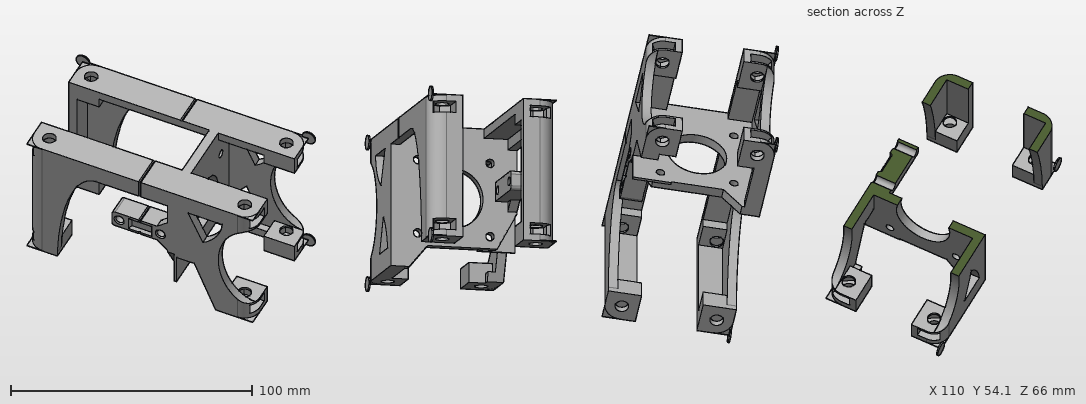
import cadquery as cq
import math

EAR_DIAMETER = 6.0
LENGTH = 110 - EAR_DIAMETER
HEIGHT = 66 - EAR_DIAMETER
WIDTH = 54.1
HALF_X = LENGTH / 2
HALF_Y = WIDTH / 2
HALF_Z = HEIGHT / 2
EAR_THICKNESS = 0.7

WALL = 4.0
POST_SIZE = 14.1
BAR_HEIGHT = 8.5
BAR_Z = HALF_Z - BAR_HEIGHT
LOWER_FLANGE_WIDTH = 7.0
PANEL_Y = HALF_Y - WALL
FOOT_X = HALF_X - POST_SIZE

SCREW_DIAMETER = 5.6
SCREW_INSET = POST_SIZE / 2
CORNER_SKIN = 0.3
NUT_FLATS = 8.1
NUT_HEIGHT = 4.7
NUT_Z = 24.9
NUT_FLARE = 2.1

PLATE_X0 = 12.8
PLATE_THICKNESS = 4.2
PLATE_X1 = PLATE_X0 + PLATE_THICKNESS
PLATE_BOTTOM = -20.7
BORE_DIAMETER = 25.0
MOTOR_SCREW_DIAMETER = 3.5
MOTOR_SCREW_OFFSET = 15.5
SKIN_THICKNESS = 1.1
SKIN_BOTTOM = -21.2
SKIN_END_Y = -10.9
CORNER_CUT_TOP = -5.4
CORNER_CUT_Y = -18.3
WEDGE_TOP_Y = 11.1
WEDGE_FOOT_Y = 18.9

FRONT_ARCH_X = -20.2
FRONT_ARCH_Z = -31.7
FRONT_ARCH_RADII = (17.7, 53.1)
BACK_ARCH_RADII = (15.8, BAR_Z)
UPPER_WINDOW_LEFT = 22.2
UPPER_WINDOW_TIP = (29.0, 7.2)
UPPER_WINDOW_MIDDLE = (35.4, 13.6)
LEG_TOP = (25.1, -6.9)
LEG_BOTTOM = (34.9, -HALF_Z)
LOWER_WINDOW_LEFT = 18.2
LOWER_WINDOW_MIDDLE = (20.2, -14.0)

TAB_LEFT = -12.9
TAB_Z = 3.5
TAB_HEIGHT = 8.0
TAB_DEPTH = 9.2
TAB_ROUND = 1.5
TAB_NECK_X = 7.9
TAB_NECK_HALF = 8.1
TAB_HOLE_DIAMETER = 3.5
TAB_HOLE_RIM = 4.6
TAB_HOLE_X = 9.5
POCKET_CENTRE = (0.2, -0.1)
POCKET_LENGTH = 10.8
POCKET_HEIGHT = 5.7
POCKET_DEPTH = 1.3
POCKET_INSET = 0.9

GROOVE_WIDTH = 1.1
GROOVE_DEPTH = 0.3


def block(x0, x1, y0, y1, z0, z1):
    return cq.Workplane("XY").box(x1 - x0, y1 - y0, z1 - z0, centered=False).translate((x0, y0, z0))


def xz():
    return cq.Workplane("XZ")


def along_y(sketch, y0, y1):
    """Extrude an XZ outline from y0 to y1."""
    return sketch.extrude(-(y1 - y0)).translate((0, y0, 0))


def ellipse(x, z, radii):
    return along_y(xz().center(x, z).ellipse(*radii), -HALF_Y, HALF_Y)


def upper_window():
    outline = (
        xz().moveTo(UPPER_WINDOW_LEFT, BAR_Z).lineTo(*UPPER_WINDOW_TIP)
        .threePointArc(UPPER_WINDOW_MIDDLE, (FOOT_X, BAR_Z)).close()
    )
    return along_y(outline, -HALF_Y, HALF_Y)


def leg_x(z):
    """X of the slanted leg edge at height z."""
    slope = (LEG_BOTTOM[0] - LEG_TOP[0]) / (LEG_BOTTOM[1] - LEG_TOP[1])
    return LEG_TOP[0] + slope * (z - LEG_TOP[1])


def lower_window():
    outline = (
        xz().moveTo(LOWER_WINDOW_LEFT, -BAR_Z).threePointArc(LOWER_WINDOW_MIDDLE, LEG_TOP)
        .lineTo(leg_x(-BAR_Z), -BAR_Z).close()
    )
    return along_y(outline, PANEL_Y, HALF_Y)


def front_leg_cut():
    outline = xz().polyline([
        (PLATE_X1, LEG_TOP[1]), LEG_TOP, LEG_BOTTOM, (PLATE_X1, -HALF_Z),
    ]).close()
    return along_y(outline, -HALF_Y, 0)


def side_frame(side):
    """One L-section frame: outer panel, flanges, post wall and corner blocks (side is -1 or 1)."""

    def slab(x0, x1, depth, z0, z1):
        inner, outer = side * (HALF_Y - depth), side * HALF_Y
        return block(x0, x1, min(inner, outer), max(inner, outer), z0, z1)

    panel = slab(-HALF_X, HALF_X, WALL, -HALF_Z, HALF_Z)
    opening = block(FRONT_ARCH_X, PLATE_X0, -HALF_Y, HALF_Y, -HALF_Z, BAR_Z)
    panel = panel.cut(opening).cut(ellipse(FRONT_ARCH_X, FRONT_ARCH_Z, FRONT_ARCH_RADII))
    panel = panel.cut(ellipse(HALF_X, 0, BACK_ARCH_RADII)).cut(upper_window())

    frame = panel.union(slab(-HALF_X, HALF_X, POST_SIZE, HALF_Z - WALL, HALF_Z))
    frame = frame.union(slab(-HALF_X, WALL - HALF_X, POST_SIZE, -HALF_Z, HALF_Z))
    frame = frame.union(slab(PLATE_X1, FOOT_X, LOWER_FLANGE_WIDTH, -HALF_Z, WALL - HALF_Z))
    for x0, x1 in ((-HALF_X, -FOOT_X), (FOOT_X, HALF_X)):
        for z0, z1 in ((-HALF_Z, -BAR_Z), (BAR_Z, HALF_Z)):
            frame = frame.union(slab(x0, x1, POST_SIZE, z0, z1))
    return frame.cut(front_leg_cut() if side < 0 else lower_window())


def motor_plate():
    section = [
        (-HALF_Y, HALF_Z), (HALF_Y, HALF_Z), (HALF_Y, -HALF_Z),
        (WEDGE_FOOT_Y, -HALF_Z), (WEDGE_TOP_Y, PLATE_BOTTOM), (-HALF_Y, PLATE_BOTTOM),
    ]
    plate = cq.Workplane("YZ").polyline(section).close().extrude(PLATE_THICKNESS)
    skin = block(PLATE_X1 - SKIN_THICKNESS, PLATE_X1, -HALF_Y, SKIN_END_Y, SKIN_BOTTOM, PLATE_BOTTOM)
    return plate.translate((PLATE_X0, 0, 0)).union(skin)


def corner_cut():
    """Slanted relief through the lower front corner of the plate, leaving a thin skin behind it."""
    points = [
        (-HALF_Y, CORNER_CUT_TOP), (CORNER_CUT_Y, SKIN_BOTTOM),
        (CORNER_CUT_Y, -HALF_Z), (-HALF_Y, -HALF_Z),
    ]
    relief = cq.Workplane("YZ").polyline(points).close().extrude(PLATE_THICKNESS - SKIN_THICKNESS)
    below = block(PLATE_X0, PLATE_X1, -HALF_Y, SKIN_END_Y, -HALF_Z, SKIN_BOTTOM)
    return relief.translate((PLATE_X0, 0, 0)).union(below)


def plate_holes():
    side = 2 * MOTOR_SCREW_OFFSET
    bore = cq.Workplane("YZ").circle(BORE_DIAMETER / 2).extrude(PLATE_THICKNESS)
    centres = cq.Workplane("YZ").rect(side, side, forConstruction=True).vertices()
    screws = centres.circle(MOTOR_SCREW_DIAMETER / 2).extrude(PLATE_THICKNESS)
    return bore.union(screws).translate((PLATE_X0, 0, 0))


def switch_tab():
    top, bottom = TAB_Z + TAB_HEIGHT / 2, TAB_Z - TAB_HEIGHT / 2
    tab = block(TAB_LEFT, PLATE_X0, -HALF_Y, TAB_DEPTH - HALF_Y, bottom, top)
    tab = tab.edges("<X and |Y").fillet(TAB_ROUND)
    neck = xz().polyline([
        (TAB_NECK_X, top), (PLATE_X0, TAB_Z + TAB_NECK_HALF),
        (PLATE_X0, TAB_Z - TAB_NECK_HALF), (TAB_NECK_X, bottom),
    ]).close()
    return tab.union(along_y(neck, -HALF_Y, -PANEL_Y))


def tab_cuts():
    front = cq.Workplane("XZ", origin=(0, -HALF_Y, TAB_Z))
    pocket = (
        front.center(*POCKET_CENTRE).rect(POCKET_LENGTH, POCKET_HEIGHT).workplane(offset=-POCKET_DEPTH)
        .rect(POCKET_LENGTH - 2 * POCKET_INSET, POCKET_HEIGHT - 2 * POCKET_INSET).loft(combine=True)
    )
    rim_depth = (TAB_HOLE_RIM - TAB_HOLE_DIAMETER) / 2
    hole_centres = [(-TAB_HOLE_X, 0), (TAB_HOLE_X, 0)]
    holes = front.pushPoints(hole_centres).circle(TAB_HOLE_DIAMETER / 2).extrude(-TAB_DEPTH)
    for x, z in hole_centres:
        rim = cq.Solid.makeCone(
            TAB_HOLE_RIM / 2, TAB_HOLE_DIAMETER / 2, rim_depth,
            pnt=cq.Vector(x, -HALF_Y, TAB_Z + z), dir=cq.Vector(0, 1, 0),
        )
        holes = holes.union(cq.Workplane(rim))
    return holes.union(pocket)


def corner_round(sx, sy):
    """Material outside the rounded outer corner of a post, between the thin end skins."""
    radius = SCREW_INSET
    depth = HEIGHT - 2 * CORNER_SKIN
    waste = cq.Workplane("XY").box(radius, radius, depth, centered=(False, False, True))
    waste = waste.cut(cq.Workplane("XY").circle(radius).extrude(depth, both=True))
    turn = {(1, 1): 0, (-1, 1): 90, (-1, -1): 180, (1, -1): 270}[(sx, sy)]
    waste = waste.rotate((0, 0, 0), (0, 0, 1), turn)
    return waste.translate((sx * (HALF_X - radius), sy * (HALF_Y - radius), 0))


def nut_slot(sx, sy, sz):
    """Hexagonal nut trap open to the end face, its outer wall flared outwards."""
    half = NUT_FLATS / 2
    tip = half / math.cos(math.radians(30))
    outline = [
        (-tip, 0), (-tip / 2, -half), (SCREW_INSET, -half),
        (SCREW_INSET, half + NUT_FLARE), (tip / 2, half), (-tip / 2, half),
    ]
    points = [(sx * (HALF_X - SCREW_INSET + x), sy * (HALF_Y - SCREW_INSET + y)) for x, y in outline]
    slot = cq.Workplane("XY").polyline(points).close().extrude(NUT_HEIGHT)
    return slot.translate((0, 0, sz * NUT_Z - NUT_HEIGHT / 2))


def grooves():
    """V grooves at mid length across the top and down the outer faces of bars and tab."""
    half = GROOVE_WIDTH / 2
    tab_top = TAB_Z + TAB_HEIGHT / 2

    def top_groove(z, y0, y1):
        return along_y(xz().polyline([(-half, z), (half, z), (0, z - GROOVE_DEPTH)]).close(), y0, y1)

    def face_groove(sy, z0, z1):
        outline = [(-half, sy * HALF_Y), (half, sy * HALF_Y), (0, sy * (HALF_Y - GROOVE_DEPTH))]
        return cq.Workplane("XY").polyline(outline).close().extrude(z1 - z0).translate((0, 0, z0))

    cuts = top_groove(HALF_Z, -HALF_Y, HALF_Y).union(top_groove(tab_top, -HALF_Y, TAB_DEPTH - HALF_Y))
    cuts = cuts.union(face_groove(1, BAR_Z, HALF_Z)).union(face_groove(-1, BAR_Z, HALF_Z))
    return cuts.union(face_groove(-1, tab_top - TAB_HEIGHT, tab_top))


body = side_frame(-1).union(side_frame(1)).union(motor_plate()).cut(corner_cut()).cut(plate_holes())
body = body.union(switch_tab()).cut(tab_cuts()).cut(grooves())

for sx in (-1, 1):
    for sy in (-1, 1):
        body = body.cut(corner_round(sx, sy))
        screw = cq.Workplane("XY").circle(SCREW_DIAMETER / 2).extrude(HEIGHT)
        screw_x = sx * (HALF_X - SCREW_INSET)
        screw_y = sy * (HALF_Y - SCREW_INSET)
        body = body.cut(screw.translate((screw_x, screw_y, -HALF_Z)))
        for sz in (-1, 1):
            body = body.cut(nut_slot(sx, sy, sz))

for sx in (-1, 1):
    for sz in (-1, 1):
        ear = xz().center(sx * HALF_X, sz * HALF_Z).circle(EAR_DIAMETER / 2)
        body = body.union(along_y(ear, HALF_Y - EAR_THICKNESS, HALF_Y))

result = body